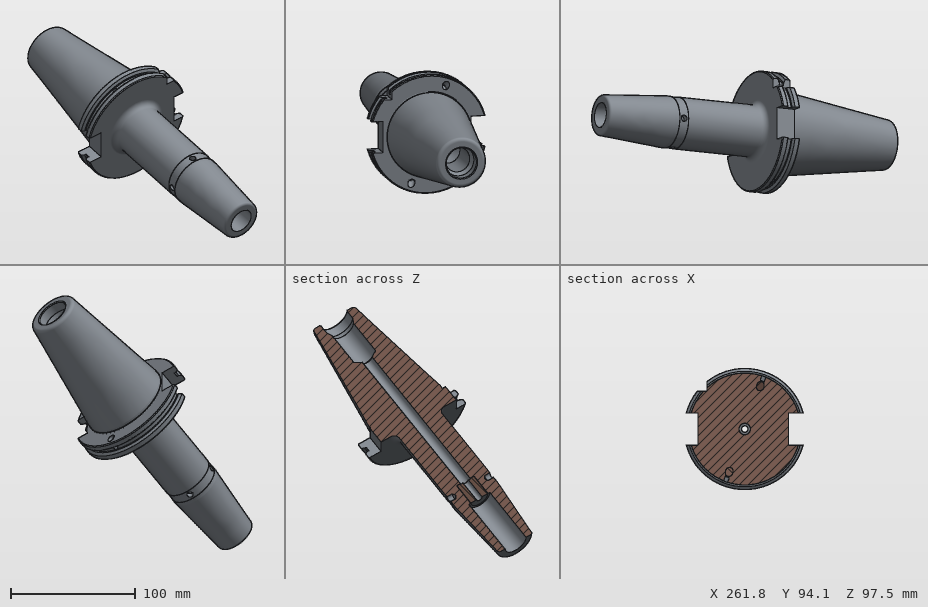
import cadquery as cq
import math


gauge_radius = 69.85 / 2
taper_length = 101.75
taper_slope = 7 / 24 / 2
small_end_radius = gauge_radius - taper_length * taper_slope
small_end_round = 3.0

relief_start = 2.0
relief_depth = 0.3
relief_radius = gauge_radius - relief_depth
relief_fillet = 0.7

flange_radius = 97.5 / 2
flange_start = 3.2
flange_end = 19.1
flange_chamfer = 0.8

groove_center = 11.1
groove_half_width = 3.75 / 2
groove_half_mouth = 3.25
groove_floor_radius = 45.0
vee_half_angle = 30
vee_depth = (groove_half_mouth - groove_half_width) / math.tan(math.radians(vee_half_angle))

drive_slot_width = 25.7
drive_slot_floor_plus_y = 37.7
drive_slot_floor_minus_y = 35.3
notch_corner = 30.4

shank_radius = 21.0
shank_fillet = 5.0
nose_length = 160.0
nose_taper_start = 102.5
nose_taper_angle = 4.5
nose_end_round = 2.2
nose_end_radius = shank_radius - (nose_length - nose_taper_start) * math.tan(math.radians(nose_taper_angle))

band_start = 90.75
band_end = 98.75
band_depth = 0.3
balance_hole_diameter = 5.0
balance_hole_depth = 5.0
balance_hole_count = 4

mouth_radius = 13.3
mouth_chamfer = 0.8
pilot_radius = mouth_radius - mouth_chamfer
pilot_depth = 9.0
pilot_cone_end = 13.5
stud_bore_radius = 10.25
stud_bore_depth = 45.0
drill_tip_angle = 118

coolant_radius = 4.5
tool_bore_radius = 10.0
tool_bore_depth = 52.0
tool_bore_start = nose_length - tool_bore_depth
stop_screw_radius = 8.0
stop_screw_length = 20.0
stop_screw_start = tool_bore_start - stop_screw_length
stop_screw_hole_radius = 2.5

coolant_hole_count = 2
coolant_hole_first_angle = 20
coolant_hole_angles = [
    coolant_hole_first_angle + index * 360 / coolant_hole_count for index in range(coolant_hole_count)
]
coolant_hole_radial_place = 42.0
coolant_hole_tilt = 37
coolant_hole_diameter = 5.6
coolant_hole_depth = 12.0
plug_recess = 6.0

groove_hole_diameter = 3.5
groove_hole_depth = 4.0

clear_of_flange = 2 * flange_radius


def revolve_about_x(profile):
    return profile.close().revolve(360, (0, 0, 0), (1, 0, 0))


def rod(x_start, x_end, radius):
    return cq.Workplane("YZ", origin=(x_start, 0, 0)).circle(radius).extrude(x_end - x_start)


def taper():
    fillet_middle = relief_fillet * math.cos(math.radians(45))
    fillet_rise = relief_fillet - fillet_middle
    return revolve_about_x(
        cq.Workplane("XZ")
        .moveTo(-taper_length, 0)
        .lineTo(-taper_length, small_end_radius)
        .lineTo(0, gauge_radius)
        .lineTo(relief_start, gauge_radius)
        .lineTo(relief_start, relief_radius)
        .lineTo(flange_start - relief_fillet, relief_radius)
        .threePointArc(
            (flange_start - relief_fillet + fillet_middle, relief_radius + fillet_rise),
            (flange_start, relief_radius + relief_fillet),
        )
        .lineTo(flange_start, 0)
    ).faces("<X").edges().fillet(small_end_round)


def flange():
    disc = rod(flange_start, flange_end, flange_radius).edges().chamfer(flange_chamfer)
    vee_floor_radius = flange_radius - vee_depth
    groove = revolve_about_x(
        cq.Workplane("XY")
        .moveTo(groove_center - groove_half_width, groove_floor_radius)
        .lineTo(groove_center - groove_half_width, vee_floor_radius)
        .lineTo(groove_center - groove_half_mouth, flange_radius)
        .lineTo(groove_center + groove_half_mouth, flange_radius)
        .lineTo(groove_center + groove_half_width, vee_floor_radius)
        .lineTo(groove_center + groove_half_width, groove_floor_radius)
    )
    return disc.cut(groove)


def flange_block(y_start, y_end, z_start, z_end):
    """Block through the full flange width, used to cut its rim."""
    width = flange_end - flange_start
    size = (width, y_end - y_start, z_end - z_start)
    return cq.Workplane("XY", origin=(flange_start, y_start, z_start)).box(*size, centered=False)


def rim_cutouts():
    half_slot = drive_slot_width / 2
    slot_plus = flange_block(drive_slot_floor_plus_y, clear_of_flange, -half_slot, half_slot)
    slot_minus = flange_block(-clear_of_flange, -drive_slot_floor_minus_y, -half_slot, half_slot)
    notch = flange_block(notch_corner, clear_of_flange, notch_corner, clear_of_flange)
    return slot_plus.union(slot_minus).union(notch)


def shank_and_nose():
    fillet_center_x = flange_end + shank_fillet
    fillet_center_r = shank_radius + shank_fillet
    fillet_middle = shank_fillet * math.cos(math.radians(45))
    return revolve_about_x(
        cq.Workplane("XY")
        .moveTo(flange_end, 0)
        .lineTo(flange_end, fillet_center_r)
        .threePointArc(
            (fillet_center_x - fillet_middle, fillet_center_r - fillet_middle),
            (fillet_center_x, shank_radius),
        )
        .lineTo(band_start, shank_radius)
        .lineTo(band_start, shank_radius - band_depth)
        .lineTo(band_end, shank_radius - band_depth)
        .lineTo(band_end, shank_radius)
        .lineTo(nose_taper_start, shank_radius)
        .lineTo(nose_length, nose_end_radius)
        .lineTo(nose_length, 0)
    ).faces(">X").edges().fillet(nose_end_round)


def bores():
    stud_bore_end = stud_bore_depth - taper_length
    tip_length = (stud_bore_radius - coolant_radius) / math.tan(math.radians(drill_tip_angle / 2))
    return revolve_about_x(
        cq.Workplane("XY")
        .moveTo(-taper_length, 0)
        .lineTo(-taper_length, mouth_radius)
        .lineTo(mouth_chamfer - taper_length, pilot_radius)
        .lineTo(pilot_depth - taper_length, pilot_radius)
        .lineTo(pilot_cone_end - taper_length, stud_bore_radius)
        .lineTo(stud_bore_end, stud_bore_radius)
        .lineTo(stud_bore_end + tip_length, coolant_radius)
        .lineTo(stop_screw_start, coolant_radius)
        .lineTo(stop_screw_start, stop_screw_radius)
        .lineTo(tool_bore_start, stop_screw_radius)
        .lineTo(tool_bore_start, tool_bore_radius)
        .lineTo(nose_length, tool_bore_radius)
        .lineTo(nose_length, 0)
    )


def radial_drill(x, surface_radius, diameter, depth):
    """Drill along -Z with a pointed tip, entering the surface on the +Z side."""
    radius = diameter / 2
    tip_length = radius / math.tan(math.radians(drill_tip_angle / 2))
    floor = surface_radius - depth
    return (
        cq.Workplane("XZ", origin=(x, 0, 0))
        .moveTo(0, surface_radius + radius)
        .lineTo(radius, surface_radius + radius)
        .lineTo(radius, floor)
        .lineTo(0, floor - tip_length)
        .close()
        .revolve(360, (0, 0, 0), (0, 1, 0))
    )


def around_axis(shape, angle):
    return shape.rotate((0, 0, 0), (1, 0, 0), angle)


def coolant_rod(start, end):
    """Length of an inclined coolant hole, measured along its axis from the flange face."""
    tilt = math.radians(coolant_hole_tilt)
    plane = cq.Plane(
        origin=(flange_start, 0, coolant_hole_radial_place),
        xDir=(0, 1, 0),
        normal=(math.cos(tilt), 0, -math.sin(tilt)),
    )
    return cq.Workplane(plane).workplane(offset=start).circle(coolant_hole_diameter / 2).extrude(end - start)


def stop_screw_body():
    screw = rod(stop_screw_start, tool_bore_start, stop_screw_radius)
    return screw.cut(rod(stop_screw_start, tool_bore_start, stop_screw_hole_radius))


def plug_screw():
    return coolant_rod(plug_recess, coolant_hole_depth)


def holder():
    solid = taper().union(flange()).union(shank_and_nose()).cut(bores()).cut(rim_cutouts())
    balance_hole = radial_drill(
        (band_start + band_end) / 2, shank_radius - band_depth, balance_hole_diameter, balance_hole_depth
    )
    for index in range(balance_hole_count):
        solid = solid.cut(around_axis(balance_hole, index * 360 / balance_hole_count))
    groove_hole = radial_drill(groove_center, groove_floor_radius, groove_hole_diameter, groove_hole_depth)
    coolant_hole = coolant_rod(-coolant_hole_diameter, coolant_hole_depth)
    for angle in coolant_hole_angles:
        solid = solid.cut(around_axis(groove_hole, angle))
        solid = solid.cut(around_axis(coolant_hole, angle))
    return solid


body = holder()
stop_screw = stop_screw_body()
plug_screws = [around_axis(plug_screw(), angle).val() for angle in coolant_hole_angles]

result = cq.Compound.makeCompound([body.val(), stop_screw.val(), *plug_screws])